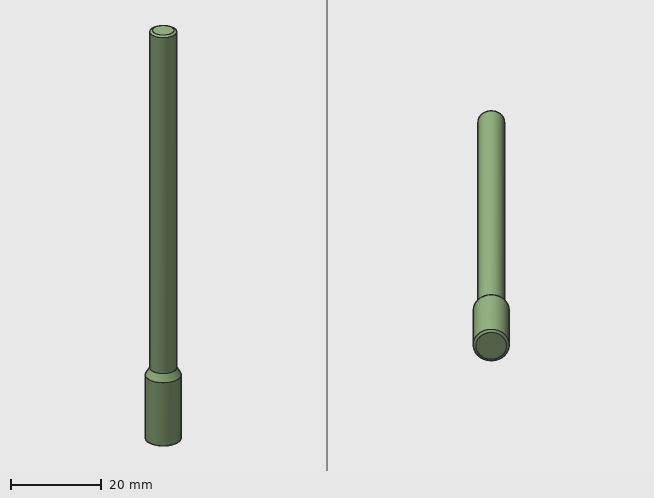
import cadquery as cq
import math

total_length = 101.0
head_diameter = 8.0
shank_diameter = 6.0

shoulder_start_height = 16.0
shoulder_angle = 60.0
shoulder_width = (head_diameter - shank_diameter) / 2
shoulder_height = shoulder_width * math.tan(math.radians(shoulder_angle))
head_height = shoulder_start_height + shoulder_height

chamfer_width = 0.6
chamfer_angle = 30.0
chamfer_height = chamfer_width * math.tan(math.radians(chamfer_angle))


def make_head():
    """Revolve the wide head, chamfered below and conical above."""
    head_radius = head_diameter / 2
    return (
        cq.Workplane("XZ")
        .moveTo(0, 0)
        .lineTo(head_radius - chamfer_width, 0)
        .lineTo(head_radius, chamfer_height)
        .lineTo(head_radius, shoulder_start_height)
        .lineTo(shank_diameter / 2, head_height)
        .lineTo(0, head_height)
        .close()
        .revolve(360, (0, 0), (0, 1))
    )


def make_shank():
    """Revolve the slim shank, standing on the head and chamfered on top."""
    shank_radius = shank_diameter / 2
    return (
        cq.Workplane("XZ")
        .moveTo(0, head_height)
        .lineTo(shank_radius, head_height)
        .lineTo(shank_radius, total_length - chamfer_height)
        .lineTo(shank_radius - chamfer_width, total_length)
        .lineTo(0, total_length)
        .close()
        .revolve(360, (0, 0), (0, 1))
    )


head = make_head()
shank = make_shank()

result = cq.Compound.makeCompound([head.val(), shank.val()])